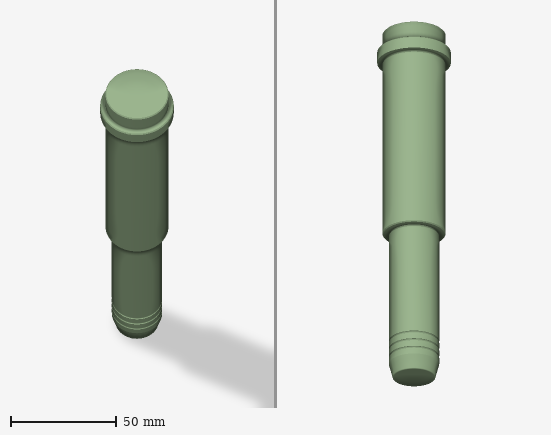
import cadquery as cq
import math

total_length = 180.0
flange_radius = 17.5
body_radius = 15.0
shank_radius = 12.0

spigot_height = 9.0
flange_thickness = 6.0
flange_top = total_length - spigot_height
flange_bottom = flange_top - flange_thickness
body_bottom = 75.0

groove_radius = 0.5
ring_groove_count = 3
ring_groove_pitch = 4.0
lowest_ring_groove_height = 10.5

neck_height = 1.0
neck_depth = 0.5

edge_chamfer = 0.5

taper_height = 7.0
taper_angle = 15.0
tip_fillet = 0.5
tip_radius = shank_radius - taper_height * math.tan(math.radians(taper_angle))


def make_blank():
    """Stepped pin: tapered tip, shank, neck, guide body, flange and spigot."""
    neck_radius = shank_radius - neck_depth
    outline = [
        (0, 0),
        (tip_radius, 0),
        (shank_radius, taper_height),
        (shank_radius, body_bottom - neck_height),
        (neck_radius, body_bottom - neck_height),
        (neck_radius, body_bottom),
        (body_radius - edge_chamfer, body_bottom),
        (body_radius, body_bottom + edge_chamfer),
        (body_radius, flange_bottom),
        (flange_radius, flange_bottom),
        (flange_radius, flange_top - edge_chamfer),
        (flange_radius - edge_chamfer, flange_top),
        (body_radius, flange_top),
        (body_radius, total_length - edge_chamfer),
        (body_radius - edge_chamfer, total_length),
        (0, total_length),
    ]
    blank = cq.Workplane("XZ").polyline(outline).close().revolve(360, (0, 0, 0), (0, 1, 0))
    return blank.faces("<Z").edges().fillet(tip_fillet)


def groove_cutter(surface_radius, height):
    """Torus centred on a cylindrical surface at the given height."""
    section = cq.Workplane("XZ").center(surface_radius, height).circle(groove_radius)
    return section.revolve(360, (-surface_radius, 0, 0), (-surface_radius, 1, 0))


def cut_grooves(pin):
    """Ring grooves near the tip, and relief grooves on both sides of the flange."""
    for index in range(ring_groove_count):
        height = lowest_ring_groove_height + index * ring_groove_pitch
        pin = pin.cut(groove_cutter(shank_radius, height))
    for height in (flange_bottom - groove_radius, flange_top + groove_radius):
        pin = pin.cut(groove_cutter(body_radius, height))
    return pin


result = cut_grooves(make_blank())